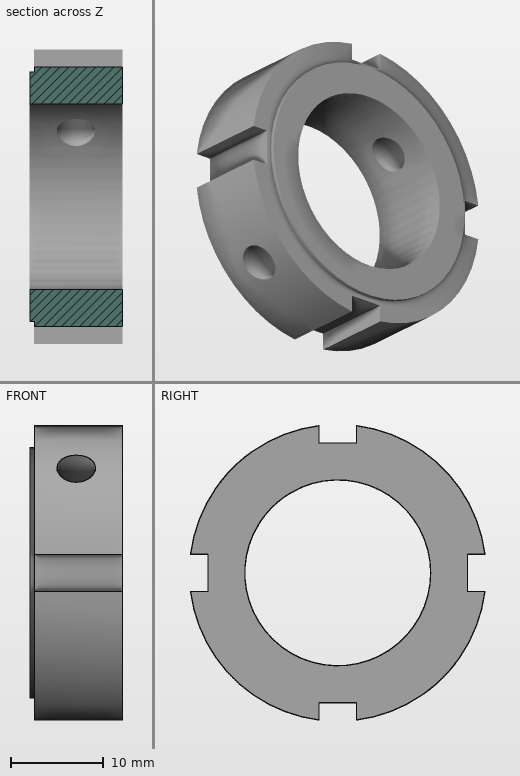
import cadquery as cq

total_width = 10.0
outer_diameter = 32.0
bore_diameter = 20.0
collar_diameter = 27.0
collar_height = 0.5

slot_count = 4
slot_width = 4.0
slot_floor_radius = 14.0

cross_hole_diameter = 4.13
cross_hole_x = total_width / 2
cross_hole_direction = (0, -1, 1)

body_width = total_width - collar_height
outer_radius = outer_diameter / 2


def make_ring():
    """Nut body with a thin raised collar on its -X face."""
    body = cq.Workplane("YZ").workplane(offset=collar_height).circle(outer_radius).extrude(body_width)
    collar = cq.Workplane("YZ").circle(collar_diameter / 2).extrude(total_width)
    bore = cq.Workplane("YZ").circle(bore_diameter / 2).extrude(total_width)
    return body.union(collar).cut(bore)


def cut_spanner_slots(ring):
    """Cut equally spaced rectangular slots into the rim."""
    slot = (
        cq.Workplane("XY")
        .box(total_width, slot_width, outer_radius, centered=(False, True, False))
        .translate((0, 0, slot_floor_radius))
    )
    for index in range(slot_count):
        angle = index * 360 / slot_count
        ring = ring.cut(slot.rotate((0, 0, 0), (1, 0, 0), angle))
    return ring


def cut_cross_hole(ring):
    """Drill the radial hole through both opposite walls."""
    middle = cq.Plane(origin=(cross_hole_x, 0, 0), xDir=(1, 0, 0), normal=cross_hole_direction)
    drill = cq.Workplane(middle).circle(cross_hole_diameter / 2).extrude(outer_diameter, both=True)
    return ring.cut(drill)


result = cut_cross_hole(cut_spanner_slots(make_ring()))